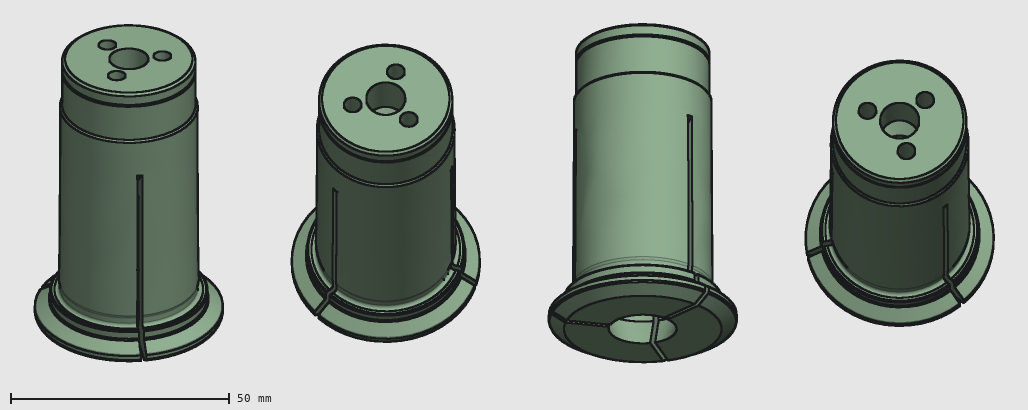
import cadquery as cq
import math

total_height = 70.0
flange_radius = 21.5

flange_face_radius = 18.0
flange_rim_bottom = 1.9
flange_rim_top = 3.7
rim_bevel = 0.45
rim_bevel_inset = 0.2
rim_top_bevel = 0.25
hub_radius = 18.0
hub_base = 5.5
hub_bevel_height = 0.4
hub_bevel_run = 0.25
hub_top = 8.0
hub_chamfer = 0.3

undercut_radius = 0.8
undercut_center_z = 8.7
relief_radius = 15.8
relief_top = 10.1
taper_start = 10.8
sleeve_bottom_radius = 16.0
sleeve_top_radius = 15.75
sleeve_top = 57.2

neck_radius = 15.25
groove_bottom = 66.6
groove_top = 67.1
groove_depth = 0.4
top_chamfer_radial = 0.7
top_chamfer_height = 0.6

mouth_radius = 7.75
bore_radius = 10.5
bore_bottom = 6.75
bore_top = 39.0

lower_passage_radius = 4.2
upper_passage_radius = 4.46
chamber_radius = 10.5
chamber_bottom = 52.0
chamber_floor_angle = 30.0
chamber_ceiling = 60.0

slot_count = 3
slot_width = 1.2
slot_top = 48.3
first_slot_angle = 60.0
hole_count = 3
hole_diameter = 4.0
hole_circle_radius = 7.75
first_hole_angle = 30.0


def outer_body():
    """Solid of revolution: flange, sleeve and neck."""
    undercut_center_r = relief_radius + undercut_radius
    undercut_drop = undercut_center_z - hub_top
    undercut_outer_r = undercut_center_r + math.sqrt(undercut_radius**2 - undercut_drop**2)
    undercut_lowest = (undercut_center_r, undercut_center_z - undercut_radius)
    profile = (
        cq.Workplane("XZ")
        .moveTo(0, 0)
        .lineTo(flange_face_radius, 0)
        .lineTo(flange_radius - rim_bevel_inset, flange_rim_bottom)
        .lineTo(flange_radius, flange_rim_bottom + rim_bevel)
        .lineTo(flange_radius, flange_rim_top - rim_top_bevel)
        .lineTo(flange_radius - rim_top_bevel, flange_rim_top)
        .lineTo(hub_radius + hub_bevel_run, hub_base)
        .lineTo(hub_radius, hub_base + hub_bevel_height)
        .lineTo(hub_radius, hub_top - hub_chamfer)
        .lineTo(hub_radius - hub_chamfer, hub_top)
        .lineTo(undercut_outer_r, hub_top)
        .threePointArc(undercut_lowest, (relief_radius, undercut_center_z))
        .lineTo(relief_radius, relief_top)
        .lineTo(sleeve_bottom_radius, taper_start)
        .lineTo(sleeve_top_radius, sleeve_top)
        .lineTo(neck_radius, sleeve_top + sleeve_top_radius - neck_radius)
        .lineTo(neck_radius, groove_bottom)
        .lineTo(neck_radius - groove_depth, groove_top)
        .lineTo(neck_radius, groove_top)
        .lineTo(neck_radius, total_height - top_chamfer_height)
        .lineTo(neck_radius - top_chamfer_radial, total_height)
        .lineTo(0, total_height)
        .close()
    )
    return profile.revolve(360, (0, 0, 0), (0, 1, 0))


def revolved(points):
    """Solid of revolution about Z from (radius, height) points."""
    return cq.Workplane("XZ").polyline(points).close().revolve(360, (0, 0, 0), (0, 1, 0))


def bore():
    """Cylindrical bore with a flat roof, narrowing to its mouth at the bottom face."""
    return revolved(
        [
            (0, 0),
            (mouth_radius, 0),
            (bore_radius, bore_bottom),
            (bore_radius, bore_top),
            (0, bore_top),
        ]
    )


def chamber():
    """Chamber with a funnel floor, plus the passages below and above it."""
    floor_slope = math.tan(math.radians(chamber_floor_angle))
    rim_height = chamber_bottom + floor_slope * (chamber_radius - lower_passage_radius)
    return revolved(
        [
            (0, bore_top),
            (lower_passage_radius, bore_top),
            (lower_passage_radius, chamber_bottom),
            (chamber_radius, rim_height),
            (chamber_radius, chamber_ceiling),
            (upper_passage_radius, chamber_ceiling),
            (upper_passage_radius, total_height),
            (0, total_height),
        ]
    )


def slots():
    """Radial slots from the bottom face whose upper ends slope from the skin down to the bore roof."""
    outline = (
        cq.Workplane("XZ", origin=(0, slot_width / 2, 0))
        .moveTo(0, 0)
        .lineTo(flange_radius, 0)
        .lineTo(flange_radius, slot_top)
        .lineTo(sleeve_top_radius, slot_top)
        .lineTo(lower_passage_radius, bore_top)
        .lineTo(0, bore_top)
        .close()
    )
    blade = outline.extrude(slot_width)
    tool = cq.Workplane("XY")
    for index in range(slot_count):
        angle = first_slot_angle + index * 360 / slot_count
        tool = tool.add(blade.rotate((0, 0, 0), (0, 0, 1), angle))
    return tool.combine()


def end_holes():
    """Holes from the top face into the chamber."""
    return (
        cq.Workplane("XY", origin=(0, 0, total_height))
        .polarArray(hole_circle_radius, first_hole_angle, 360, hole_count)
        .circle(hole_diameter / 2)
        .extrude(chamber_ceiling - total_height)
    )


result = outer_body().cut(bore()).cut(chamber()).cut(slots()).cut(end_holes())